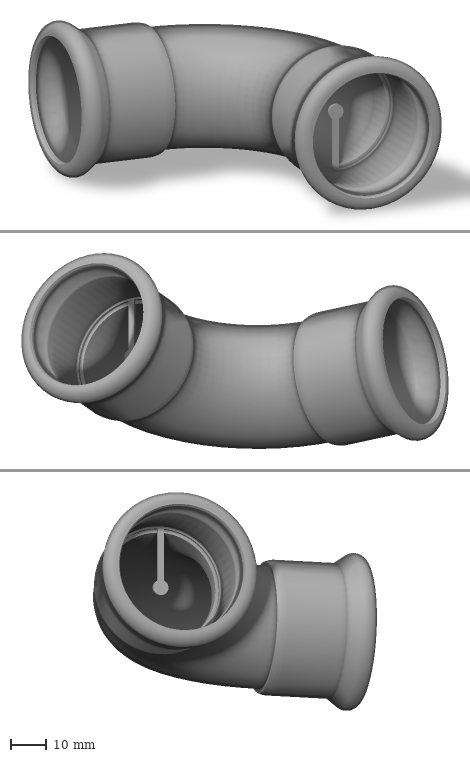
import cadquery as cq
import math

overall_size = 90.3
bead_diameter = 44.6
leg_length = overall_size - bead_diameter / 2

tube_wall = 1.4
socket_wall = 1.5
tube_diameter = 34.95
tube_bore = tube_diameter - 2 * tube_wall
socket_diameter = 38.4
socket_bore = socket_diameter - 2 * socket_wall
mouth_diameter = 35.9
lead_in_diameter = 36.7
lead_in_depth = 0.7

ring_bore = 34.0
ring_thickness = 0.9
tab_width = 1.7
tab_disc_diameter = 4.4

socket_length = 28.6
barrel_end_depth = 26.0
ring_depth = 26.0
cone_end_depth = 8.5
neck_radius_drop = 0.5
seat_edge_tangent = 0.5
shoulder_depth = ring_depth + ring_thickness

socket_radius = socket_diameter / 2
bead_radius = (bead_diameter - socket_diameter) / 2

bend_radius = leg_length - socket_length
mouth_y = -leg_length
bead_center_y = mouth_y + bead_radius
cone_angle = math.asin(bead_radius / (cone_end_depth - bead_radius))


def place_at_x_mouth(body):
    """Carry a body of the -Y socket to the +X socket by a half turn about the line y = -x."""
    return body.rotate((0, 0, 0), (1, -1, 0), 180)


def revolve_about_y(profile):
    return profile.revolve(360, (0, 0, 0), (0, 1, 0))


def bend(diameter):
    """Solid quarter bend joining the inner ends of both sockets."""
    return (
        cq.Workplane("XZ", origin=(0, -bend_radius, 0))
        .circle(diameter / 2)
        .revolve(90, (bend_radius, 0.9, 0), (bend_radius, 0, 0))
    )


def socket_body():
    """Outside of the -Y socket: bead, tangent cone, barrel and rounded neck, without its bore."""
    tangent_point = (
        socket_radius + bead_radius * math.cos(cone_angle),
        bead_center_y + bead_radius * math.sin(cone_angle),
    )
    bead_crown = (socket_radius + bead_radius, bead_center_y)
    neck_length = socket_length - barrel_end_depth
    neck_arc_radius = (neck_length**2 + neck_radius_drop**2) / (2 * neck_radius_drop)
    neck_half_angle = math.asin(neck_length / neck_arc_radius) / 2
    neck_middle = (
        socket_radius - neck_arc_radius * (1 - math.cos(neck_half_angle)),
        mouth_y + barrel_end_depth + neck_arc_radius * math.sin(neck_half_angle),
    )
    profile = (
        cq.Workplane("XY")
        .moveTo(0, mouth_y)
        .lineTo(socket_radius, mouth_y)
        .threePointArc(bead_crown, tangent_point)
        .lineTo(socket_radius, mouth_y + cone_end_depth)
        .lineTo(socket_radius, mouth_y + barrel_end_depth)
        .threePointArc(neck_middle, (socket_radius - neck_radius_drop, mouth_y + socket_length))
        .lineTo(0, mouth_y + socket_length)
        .close()
    )
    return revolve_about_y(profile)


def bore(diameter, depth):
    """Round cutter reaching from the -Y mouth to the given depth."""
    return cq.Workplane("XZ", origin=(0, mouth_y, 0)).circle(diameter / 2).extrude(-depth)


def bead_cavity():
    """Hollow of the bead, one wall thickness inside its rounded edge and its cone."""
    hollow_radius = bead_radius - socket_wall
    bore_radius = socket_bore / 2
    lip_y = mouth_y + socket_wall
    tangent_point = (
        socket_radius + hollow_radius * math.cos(cone_angle),
        bead_center_y + hollow_radius * math.sin(cone_angle),
    )
    cone_corner_y = mouth_y + cone_end_depth + socket_wall * math.tan(cone_angle / 2)

    round_radius = seat_edge_tangent / math.tan(cone_angle / 2)
    round_end_y = cone_corner_y + seat_edge_tangent
    round_start = (
        bore_radius + seat_edge_tangent * math.sin(cone_angle),
        cone_corner_y - seat_edge_tangent * math.cos(cone_angle),
    )
    round_middle = (
        bore_radius + round_radius * (1 - math.cos(cone_angle / 2)),
        round_end_y - round_radius * math.sin(cone_angle / 2),
    )
    profile = (
        cq.Workplane("XY")
        .moveTo(0, lip_y)
        .lineTo(socket_radius, lip_y)
        .threePointArc((socket_radius + hollow_radius, bead_center_y), tangent_point)
        .lineTo(*round_start)
        .threePointArc(round_middle, (bore_radius, round_end_y))
        .lineTo(0, round_end_y)
        .close()
    )
    return revolve_about_y(profile)


def lead_in():
    """Conical cutter that widens the mouth at its face."""
    profile = (
        cq.Workplane("XY")
        .moveTo(0, mouth_y)
        .lineTo(lead_in_diameter / 2, mouth_y)
        .lineTo(mouth_diameter / 2, mouth_y + lead_in_depth)
        .lineTo(0, mouth_y + lead_in_depth)
        .close()
    )
    return revolve_about_y(profile)


def socket_cavity():
    """Mouth, hollow bead, pipe seat up to the shoulder, and the narrower passage into the bend."""
    return (
        bore(mouth_diameter, socket_wall)
        .union(lead_in())
        .union(bead_cavity())
        .union(bore(socket_bore, shoulder_depth))
        .union(bore(tube_bore, socket_length))
    )


def stop_ring():
    """Flat ring against the shoulder, with a tab reaching inward to a disc on the socket axis."""
    ring_plane = cq.Workplane("XZ", origin=(0, mouth_y + ring_depth, 0))
    tab_length = (socket_bore + ring_bore) / 4
    ring = ring_plane.circle(socket_bore / 2).circle(ring_bore / 2).extrude(-ring_thickness)
    tab = (
        ring_plane.center(0, tab_length / 2)
        .rect(tab_width, tab_length)
        .extrude(-ring_thickness)
    )
    disc = ring_plane.circle(tab_disc_diameter / 2).extrude(-ring_thickness)
    return ring.union(tab).union(disc)


front_ring = stop_ring()
stop_rings = [front_ring, place_at_x_mouth(front_ring)]

front_socket = socket_body()
front_cavity = socket_cavity()
elbow = bend(tube_diameter).union(front_socket).union(place_at_x_mouth(front_socket))
elbow = elbow.cut(bend(tube_bore)).cut(front_cavity).cut(place_at_x_mouth(front_cavity))

result = cq.Compound.makeCompound([elbow.val(), *[ring.val() for ring in stop_rings]])